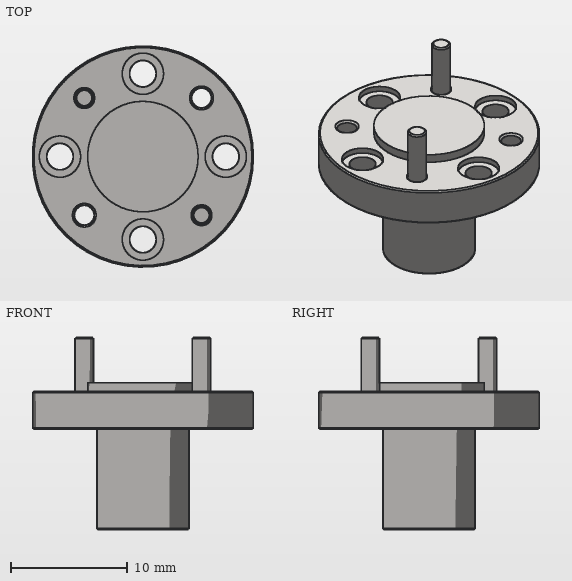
import cadquery as cq

total_height = 16.57
stem_length = 8.67
flange_thickness = 3.25
boss_height = 0.76
flange_top = stem_length + flange_thickness

flange_diameter = 19.05
stem_diameter = 7.96
boss_diameter = 9.52
edge_chamfer = 0.13

pitch_radius = 7.15
bolt_hole_diameter = 2.27
counterbore_diameter = 3.56
counterbore_depth = 0.5

dowel_hole_diameter = 1.7
dowel_hole_rim_diameter = 2.04

pin_diameter = 1.6
pin_hole_rim_diameter = 1.8
pin_chamfer = 0.13
pin_length = total_height - stem_length

BOLT_ANGLES = (0, 90, 180, 270)
DOWEL_HOLE_ANGLES = (45, 225)
PIN_ANGLES = (135, 315)


def on_pitch_circle(angle, z):
    """Horizontal workplane centred on the pitch circle at the given angle."""
    return (
        cq.Workplane("XY", origin=(0, 0, z))
        .transformed(rotate=(0, 0, angle))
        .center(pitch_radius, 0)
    )


def make_bolt_cutter(angle):
    """Through hole with a shallow counterbore in the flange top."""
    hole = on_pitch_circle(angle, stem_length).circle(bolt_hole_diameter / 2).extrude(flange_thickness)
    counterbore = (
        on_pitch_circle(angle, flange_top - counterbore_depth)
        .circle(counterbore_diameter / 2)
        .extrude(counterbore_depth)
    )
    return hole.union(counterbore)


def make_countersunk_cutter(angle, hole_diameter, rim_diameter):
    """Through hole with a 45 degree countersink at the flange top."""
    depth = (rim_diameter - hole_diameter) / 2
    hole = on_pitch_circle(angle, stem_length).circle(hole_diameter / 2).extrude(flange_thickness)
    countersink = (
        on_pitch_circle(angle, flange_top - depth)
        .circle(hole_diameter / 2)
        .workplane(offset=depth)
        .circle(rim_diameter / 2)
        .loft()
    )
    return hole.union(countersink)


def make_flange():
    """Round flange with a stem below and a raised boss above."""
    stem = cq.Workplane("XY").circle(stem_diameter / 2).extrude(stem_length)
    stem = stem.faces("<Z").chamfer(edge_chamfer)
    disc = (
        cq.Workplane("XY", origin=(0, 0, stem_length))
        .circle(flange_diameter / 2)
        .extrude(flange_thickness)
        .edges()
        .chamfer(edge_chamfer)
    )
    boss = cq.Workplane("XY", origin=(0, 0, flange_top)).circle(boss_diameter / 2).extrude(boss_height)
    body = disc.union(stem).union(boss)

    for angle in BOLT_ANGLES:
        body = body.cut(make_bolt_cutter(angle))
    for angle in DOWEL_HOLE_ANGLES:
        body = body.cut(make_countersunk_cutter(angle, dowel_hole_diameter, dowel_hole_rim_diameter))
    for angle in PIN_ANGLES:
        body = body.cut(make_countersunk_cutter(angle, pin_diameter, pin_hole_rim_diameter))
    return body


def make_pin(angle):
    """Dowel pin flush with the flange underside, chamfered at its free end."""
    pin = on_pitch_circle(angle, stem_length).circle(pin_diameter / 2).extrude(pin_length)
    return pin.faces(">Z").chamfer(pin_chamfer)


flange = make_flange()
pins = [make_pin(angle).val() for angle in PIN_ANGLES]

result = cq.Compound.makeCompound([flange.val(), *pins])